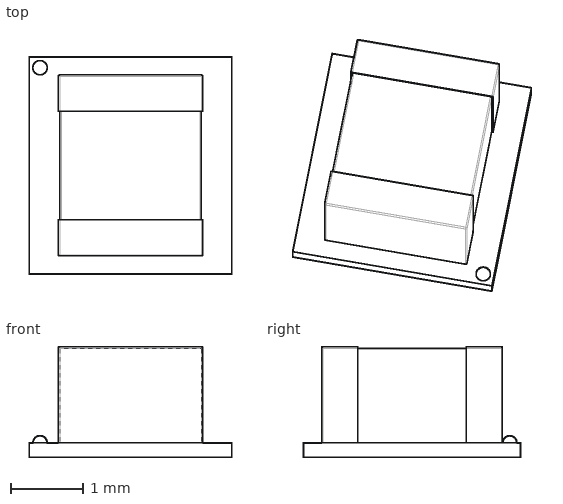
import cadquery as cq

board_length = 3.0
board_width = 2.8
board_thickness = 0.2
overall_height = 1.53

chip_width = 1.998
chip_length = 2.5
chip_height = overall_height - board_thickness
terminal_length = 0.5
body_inset = 0.02
edge_radius = 0.02

dome_radius = 0.1
dome_edge_distance = 0.15


def block_on_board(width, length, height, y_center=0):
    """Block centred in X whose bottom lies on the board's top face."""
    return (
        cq.Workplane("XY", origin=(0, y_center, board_thickness))
        .box(width, length, height, centered=(True, True, False))
    )


def make_board():
    return cq.Workplane("XY").box(
        board_width, board_length, board_thickness, centered=(True, True, False)
    )


def make_body():
    """Central body, set in from the terminals and rounded along its top edges."""
    body = block_on_board(
        chip_width - 2 * body_inset,
        chip_length - 2 * terminal_length,
        chip_height - body_inset,
    )
    return body.edges("|Y and >Z").fillet(edge_radius)


def make_terminal(side):
    """End terminal; side is +1 or -1 along Y. Its outer edges are rounded."""
    y_center = side * (chip_length - terminal_length) / 2
    terminal = block_on_board(chip_width, terminal_length, chip_height, y_center)
    outer_face = ">Y" if side > 0 else "<Y"
    rounded_edges = f"(|Y and >Z) or ({outer_face} and (not <Z))"
    return terminal.edges(rounded_edges).fillet(edge_radius)


def make_dome():
    """Sphere centred on the board's top face; its lower half sinks into the board."""
    center = (
        -board_width / 2 + dome_edge_distance,
        board_length / 2 - dome_edge_distance,
        board_thickness,
    )
    return cq.Workplane("XY", origin=center).sphere(dome_radius)


result = make_board().union(make_body()).union(make_dome())
for side in (-1, 1):
    result = result.union(make_terminal(side))